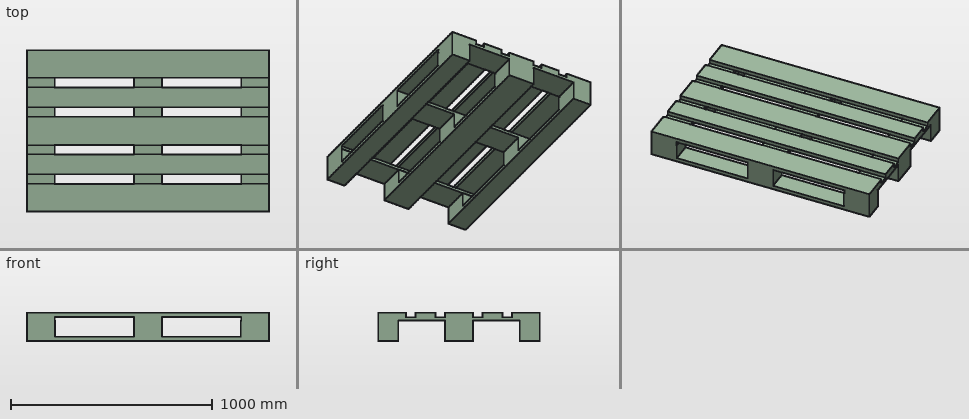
import cadquery as cq

length = 1200.0
width = 800.0
height = 140.0

deck_thickness = 22.0
cross_thickness = 18.0
runner_thickness = 22.0

outer_deck_width = 138.0
inner_deck_width = 100.0
center_deck_width = 140.0
end_cross_width = 138.0
center_cross_width = 140.0
block_length = 140.0
outer_runner_width = 100.0
center_runner_width = 140.0

deck_bottom = height - deck_thickness
block_top = deck_bottom - cross_thickness

deck_gap = (width - 2 * outer_deck_width - 2 * inner_deck_width - center_deck_width) / 4
inner_deck_offset = center_deck_width / 2 + deck_gap + inner_deck_width / 2


def plank(x_size, y_size, x_center, y_center, bottom, top):
    """A rectangular board centred at a point in plan, between two levels."""
    return (
        cq.Workplane("XY", origin=(x_center, y_center, bottom))
        .box(x_size, y_size, top - bottom, centered=(True, True, False))
    )


def three_across(span, outer_size, center_size):
    """(size, centre) of two members flush with the ends of a span and one in the middle."""
    outer_center = (span - outer_size) / 2
    return [(outer_size, -outer_center), (center_size, 0), (outer_size, outer_center)]


deck_rows = three_across(width, outer_deck_width, center_deck_width)
deck_rows += [(inner_deck_width, side * inner_deck_offset) for side in (-1, 1)]
cross_columns = three_across(length, end_cross_width, center_cross_width)
block_columns = three_across(length, block_length, block_length)
runner_rows = three_across(width, outer_runner_width, center_runner_width)

members = []

for y_size, y in deck_rows:
    members.append(plank(length, y_size, 0, y, deck_bottom, height))

for x_size, x in cross_columns:
    members.append(plank(x_size, width, x, 0, block_top, deck_bottom))

for y_size, y in runner_rows:
    members.append(plank(length, y_size, 0, y, 0, runner_thickness))
    for x_size, x in block_columns:
        members.append(plank(x_size, y_size, x, y, runner_thickness, block_top))

result = members[0]
for member in members[1:]:
    result = result.union(member)